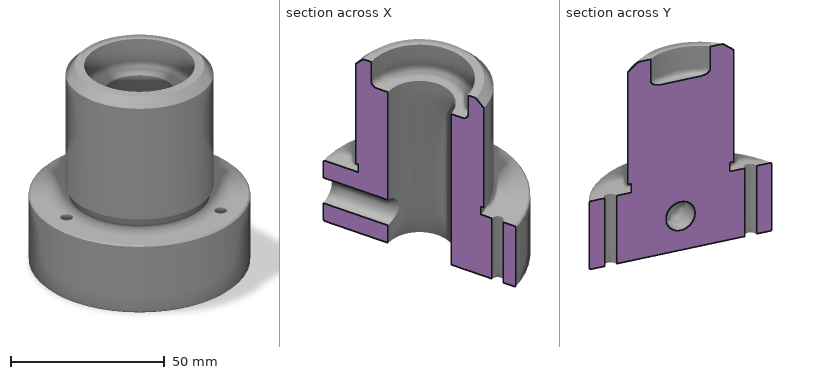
import cadquery as cq

total_height = 72.0
flange_diameter = 72.0

flange_height = 25.0
flange_chamfer = 0.5

neck_diameter = 46.0
neck_height = 3.0

spigot_diameter = 48.0
spigot_chamfer = 3.0

through_bore_diameter = 23.5
counterbore_diameter = 36.0
counterbore_depth = 10.0
counterbore_fillet = 2.0

hole_count = 3
hole_diameter = 4.1
hole_circle_radius = 29.0
first_hole_angle = -90.0

side_hole_diameter = 10.2


def make_body():
    """Flange, neck and spigot stacked along Z."""
    neck_top = flange_height + neck_height
    flange = (
        cq.Workplane("XY")
        .circle(flange_diameter / 2)
        .extrude(flange_height)
        .edges()
        .chamfer(flange_chamfer)
    )
    neck = (
        cq.Workplane("XY")
        .workplane(offset=flange_height)
        .circle(neck_diameter / 2)
        .extrude(neck_height)
    )
    spigot = (
        cq.Workplane("XY")
        .workplane(offset=neck_top)
        .circle(spigot_diameter / 2)
        .extrude(total_height - neck_top)
        .edges(">Z")
        .chamfer(spigot_chamfer)
    )
    return flange.union(neck).union(spigot)


def make_bore():
    """Through bore with a counterbore rounded at its floor."""
    through_bore = cq.Workplane("XY").circle(through_bore_diameter / 2).extrude(total_height)
    counterbore = (
        cq.Workplane("XY")
        .workplane(offset=total_height - counterbore_depth)
        .circle(counterbore_diameter / 2)
        .extrude(counterbore_depth)
        .edges("<Z")
        .fillet(counterbore_fillet)
    )
    return through_bore.union(counterbore)


def make_flange_holes():
    """Evenly spaced holes through the flange, one of them on the -Y axis."""
    return (
        cq.Workplane("XY")
        .polarArray(hole_circle_radius, first_hole_angle, 360, hole_count)
        .circle(hole_diameter / 2)
        .extrude(flange_height)
    )


def make_side_hole():
    """Radial hole from the +Y side of the flange into the bore, at mid flange height."""
    return (
        cq.Workplane("XZ")
        .center(0, flange_height / 2)
        .circle(side_hole_diameter / 2)
        .extrude(-flange_diameter / 2)
    )


result = make_body().cut(make_bore()).cut(make_flange_holes()).cut(make_side_hole())